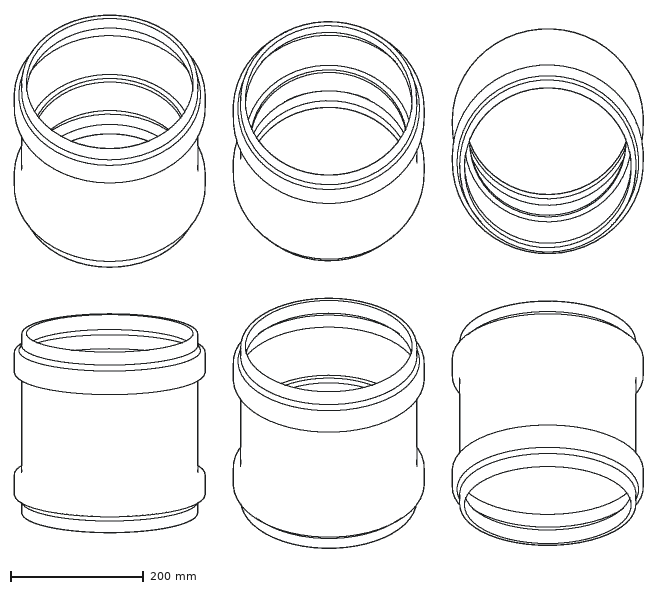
import cadquery as cq

height = 278.5
half_height = height / 2
bead_radius = 144.3
wall = 7.0

pipe_radius = 133.0
bore_radius = 125.8
mid_wall_radius = (pipe_radius + bore_radius) / 2
stop_radius = 118.0
stop_height = 8.7

collar_depth = 18.5
collar_bevel = 1.7
cone_depth = 26.8
bead_end_depth = 62.3
cone_start_radius = 134.0
cone_radius = 137.0
lip_depth = 23.0
groove_radius = 137.0
groove_start = cone_depth + wall
groove_end = bead_end_depth - wall

rim_round = 1.2
bead_round = 3.2
neck_round = 1.7

arc_inset = 1 - 0.5 ** 0.5
bead_inset = bead_round * arc_inset
neck_inset = neck_round * arc_inset


def level(depth):
    """Height above the middle plane at a given depth from the upper end."""
    return half_height - depth


def revolve_about_z(profile):
    """Turn a closed XZ profile into a ring around the pipe axis."""
    return profile.revolve(360, (0, 0, 0), (0, 1, 0))


def ring(outer_radius, inner_radius, ring_height):
    """Plain ring centred on the middle plane."""
    return (
        cq.Workplane("XY", origin=(0, 0, -ring_height / 2))
        .circle(outer_radius)
        .circle(inner_radius)
        .extrude(ring_height)
    )


def pipe():
    """Straight pipe over the full height with rounded outer rims."""
    outside = (
        cq.Workplane("XY", origin=(0, 0, -half_height))
        .circle(pipe_radius)
        .extrude(height)
        .edges("%CIRCLE")
        .fillet(rim_round)
    )
    bore = cq.Workplane("XY", origin=(0, 0, -half_height)).circle(bore_radius).extrude(height)
    return outside.cut(bore)


def upper_bead():
    """Rounded bead with a cone up to the collar and a filleted neck below."""
    top = level(cone_depth)
    bottom = level(bead_end_depth)
    profile = (
        cq.Workplane("XZ")
        .moveTo(mid_wall_radius, bottom - neck_round)
        .lineTo(pipe_radius, bottom - neck_round)
        .threePointArc(
            (pipe_radius + neck_inset, bottom - neck_inset),
            (pipe_radius + neck_round, bottom),
        )
        .lineTo(bead_radius - bead_round, bottom)
        .threePointArc(
            (bead_radius - bead_inset, bottom + bead_inset),
            (bead_radius, bottom + bead_round),
        )
        .lineTo(bead_radius, top - bead_round)
        .threePointArc(
            (bead_radius - bead_inset, top - bead_inset),
            (bead_radius - bead_round, top),
        )
        .lineTo(cone_radius, top)
        .lineTo(cone_start_radius, level(collar_depth + collar_bevel))
        .lineTo(pipe_radius, level(collar_depth))
        .lineTo(mid_wall_radius, level(collar_depth))
        .close()
    )
    return revolve_about_z(profile)


def upper_groove():
    """Seal groove with a conical roof, a flat shelf and a rounded shelf edge."""
    shelf = level(groove_end)
    profile = (
        cq.Workplane("XZ")
        .moveTo(stop_radius, level(lip_depth))
        .lineTo(bore_radius, level(lip_depth))
        .lineTo(groove_radius, level(groove_start))
        .lineTo(groove_radius, shelf)
        .lineTo(bore_radius + neck_round, shelf)
        .threePointArc(
            (bore_radius + neck_inset, shelf - neck_inset),
            (bore_radius, shelf - neck_round),
        )
        .lineTo(stop_radius, shelf - neck_round)
        .close()
    )
    return revolve_about_z(profile)


bead = upper_bead()
groove = upper_groove()
result = pipe().union(bead).union(bead.mirror("XY"))
result = result.cut(groove).cut(groove.mirror("XY"))

result = result.union(ring(mid_wall_radius, stop_radius, stop_height))